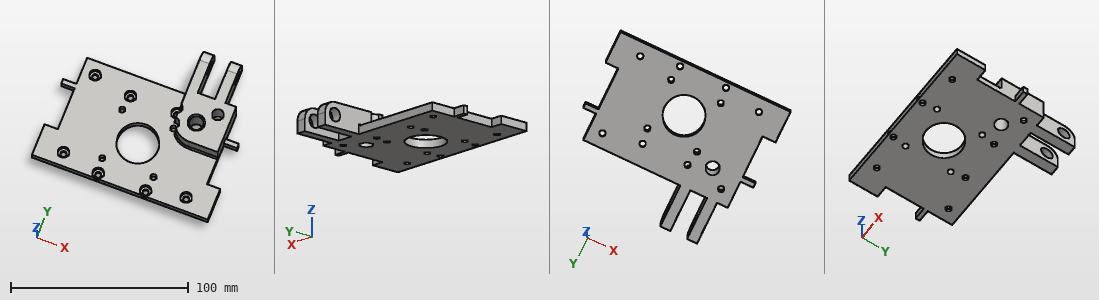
import cadquery as cq

OVERALL_WIDTH = 106.0
OVERALL_DEPTH = 91.0
OVERALL_HEIGHT = 15.0
PLATE_WIDTH = 90.0
PLATE_DEPTH = 65.0
PLATE_THICKNESS = 5.0
FOOT_DEPTH = 19.5
TAB_START = 45.5
TAB_DEPTH = 2.9

SCREW_DIAMETER = 3.5
COUNTERBORE_DIAMETER = 6.6
COUNTERBORE_FLOOR = 2.0
MOTOR_BORE_DIAMETER = 24.1
MOTOR_CENTER_Y = 28.0
MOTOR_SCREW_OFFSET = 15.5
CORNER_SCREW_X = 37.0
CORNER_SCREW_YS = (7.8, 56.9)
REAR_SCREW_X = 14.0
REAR_SCREW_Y = 52.6
FRONT_SCREW_X = 14.3
FRONT_SCREW_Y = 3.4

BLOCK_LEFT = MOTOR_SCREW_OFFSET
BLOCK_FRONT = 36.1
BLOCK_CORNER_RADIUS = 12.0
BLOCK_RIGHT = PLATE_WIDTH / 2
FOOT_CHAMFER = 1.0
GUIDE_BORE_DIAMETER = 8.0
GUIDE_BORE_CHAMFER = 1.0

EAR_THICKNESS = 6.3
EAR_GAP = 10.4
EAR_RADIUS = OVERALL_HEIGHT / 2
EAR_HOLE_DIAMETER = 8.0


def box(left, front, width, depth, height):
    """Box standing on Z = 0 with its left front corner at the given point."""
    return cq.Workplane("XY").box(width, depth, height, centered=False).translate((left, front, 0))


def cylinder(points, diameter, bottom, top):
    """Vertical cylinders centred on the given points."""
    base = cq.Workplane("XY").workplane(offset=bottom)
    return base.pushPoints(points).circle(diameter / 2).extrude(top - bottom)


def mirrored(x, y):
    """Two points placed symmetrically about the centre line."""
    return [(-x, y), (x, y)]


def make_plate():
    plate = box(-PLATE_WIDTH / 2, 0, PLATE_WIDTH, PLATE_DEPTH, PLATE_THICKNESS)
    feet = box(-OVERALL_WIDTH / 2, 0, OVERALL_WIDTH, FOOT_DEPTH, PLATE_THICKNESS)
    tabs = box(-OVERALL_WIDTH / 2, TAB_START, OVERALL_WIDTH, TAB_DEPTH, PLATE_THICKNESS)
    return plate.union(feet).union(tabs)


def block_outline(bottom, margin):
    """Block outline at one level, with its left and front sides moved out by a margin."""
    left = BLOCK_LEFT - margin
    front = BLOCK_FRONT - margin
    radius = BLOCK_CORNER_RADIUS + margin
    return (
        cq.Workplane("XY")
        .workplane(offset=bottom)
        .moveTo(left, PLATE_DEPTH)
        .lineTo(left, front + radius)
        .radiusArc((left + radius, front), -radius)
        .lineTo(BLOCK_RIGHT, front)
        .lineTo(BLOCK_RIGHT, PLATE_DEPTH)
        .close()
    )


def make_block():
    block = block_outline(0, 0).extrude(OVERALL_HEIGHT)
    lower_wire = block_outline(PLATE_THICKNESS, FOOT_CHAMFER).wires().val()
    upper_wire = block_outline(PLATE_THICKNESS + FOOT_CHAMFER, 0).wires().val()
    foot = cq.Solid.makeLoft([lower_wire, upper_wire], True)
    return block.union(cq.Workplane(obj=foot))


def make_ear(left):
    """Upright ear with a rounded upper rear corner and a cross hole."""
    ear = box(left, PLATE_DEPTH, EAR_THICKNESS, OVERALL_DEPTH - PLATE_DEPTH, OVERALL_HEIGHT)
    ear = ear.edges("|X and >Y and >Z").fillet(EAR_RADIUS)
    hole = (
        cq.Workplane("YZ")
        .workplane(offset=left)
        .center(OVERALL_DEPTH - EAR_RADIUS, EAR_RADIUS)
        .circle(EAR_HOLE_DIAMETER / 2)
        .extrude(EAR_THICKNESS)
    )
    return ear.cut(hole)


def cut_motor_mount(body):
    """Large motor bore, four screw holes around it and clearance beside the block."""
    front_y = MOTOR_CENTER_Y - MOTOR_SCREW_OFFSET
    rear_y = MOTOR_CENTER_Y + MOTOR_SCREW_OFFSET
    screws = mirrored(MOTOR_SCREW_OFFSET, front_y) + mirrored(MOTOR_SCREW_OFFSET, rear_y)
    clearance = [(MOTOR_SCREW_OFFSET, rear_y)]
    body = body.cut(cylinder([(0, MOTOR_CENTER_Y)], MOTOR_BORE_DIAMETER, 0, PLATE_THICKNESS))
    body = body.cut(cylinder(screws, SCREW_DIAMETER, 0, OVERALL_HEIGHT))
    return body.cut(cylinder(clearance, COUNTERBORE_DIAMETER, PLATE_THICKNESS, OVERALL_HEIGHT))


def cut_counterbored_holes(body):
    """Mounting screw holes with deep counterbores open to the top."""
    points = mirrored(REAR_SCREW_X, REAR_SCREW_Y) + mirrored(FRONT_SCREW_X, FRONT_SCREW_Y)
    for y in CORNER_SCREW_YS:
        points += mirrored(CORNER_SCREW_X, y)
    body = body.cut(cylinder(points, SCREW_DIAMETER, 0, OVERALL_HEIGHT))
    return body.cut(cylinder(points, COUNTERBORE_DIAMETER, COUNTERBORE_FLOOR, OVERALL_HEIGHT))


def cut_guide_bore(body):
    """Through bore concentric with the rounded block corner, chamfered at the top."""
    center = (BLOCK_LEFT + BLOCK_CORNER_RADIUS, BLOCK_FRONT + BLOCK_CORNER_RADIUS)
    body = body.cut(cylinder([center], GUIDE_BORE_DIAMETER, 0, OVERALL_HEIGHT))
    cone = cq.Solid.makeCone(
        GUIDE_BORE_DIAMETER / 2,
        GUIDE_BORE_DIAMETER / 2 + GUIDE_BORE_CHAMFER,
        GUIDE_BORE_CHAMFER,
        pnt=cq.Vector(*center, OVERALL_HEIGHT - GUIDE_BORE_CHAMFER),
    )
    return body.cut(cq.Workplane(obj=cone))


result = make_plate().union(make_block())
for ear_left in (BLOCK_LEFT, BLOCK_LEFT + EAR_THICKNESS + EAR_GAP):
    result = result.union(make_ear(ear_left))
result = cut_motor_mount(result)
result = cut_counterbored_holes(result)
result = cut_guide_bore(result)